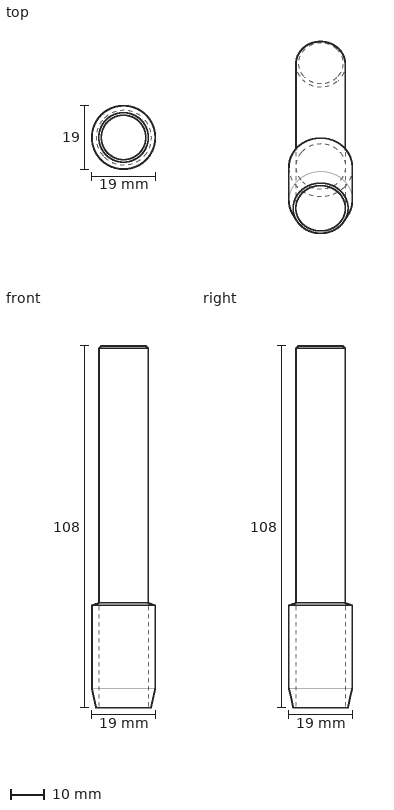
import cadquery as cq

total_length = 108.0

pin_diameter = 14.8
pin_radius = pin_diameter / 2
pin_chamfer = 0.8

sleeve_diameter = 19.0
sleeve_radius = sleeve_diameter / 2
sleeve_length = 31.3
shoulder_drop = 0.8
taper_height = 5.8
taper_bottom_radius = 8.2


def make_pin():
    """Round pin running the full length, chamfered at its top end."""
    return cq.Workplane("XY").circle(pin_radius).extrude(total_length).faces(">Z").chamfer(pin_chamfer)


def make_sleeve():
    """Turned sleeve with a tapered nose, a shallow conical shoulder and a bore that fits the pin."""
    return (
        cq.Workplane("XZ")
        .moveTo(pin_radius, 0)
        .lineTo(taper_bottom_radius, 0)
        .lineTo(sleeve_radius, taper_height)
        .lineTo(sleeve_radius, sleeve_length - shoulder_drop)
        .lineTo(pin_radius, sleeve_length)
        .close()
        .revolve(360, (0, 0, 0), (0, 1, 0))
    )


pin = make_pin()
sleeve = make_sleeve()
result = cq.Compound.makeCompound([pin.val(), sleeve.val()])